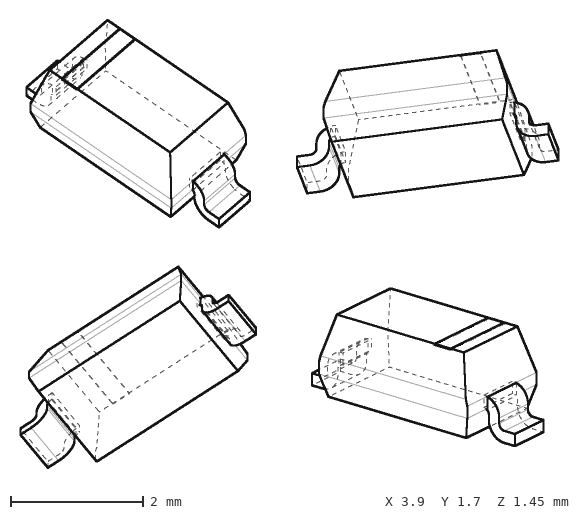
import cadquery as cq
import math

span = 3.9
total_height = 1.45
body_length = 2.85
body_width = 1.7

standoff = 0.1
band_bottom = 0.485
draft_slope = math.tan(math.radians(15.0))
back_step = 0.105

lead_thickness = 0.2
lead_width = 0.705
foot_length = 0.203
inner_radius = 0.098
outer_radius = inner_radius + lead_thickness
lead_top = band_bottom + lead_thickness

stripe_width = 0.31
stripe_depth = 0.015
stripe_offset = 0.25

band_top = lead_top
half_length = body_length / 2
half_width = body_width / 2
bottom_inset = (band_bottom - standoff) * draft_slope
top_inset = (total_height - band_top) * draft_slope
back_top_inset = top_inset - back_step * draft_slope


def make_body_blank():
    """Drafted block: the common volume of its lengthwise and crosswise profiles."""
    lengthwise = (
        cq.Workplane("XZ")
        .moveTo(-half_length + bottom_inset, standoff)
        .lineTo(half_length - bottom_inset, standoff)
        .lineTo(half_length, band_bottom)
        .lineTo(half_length, band_top)
        .lineTo(half_length - top_inset, total_height)
        .lineTo(-half_length + top_inset, total_height)
        .lineTo(-half_length, band_top)
        .lineTo(-half_length, band_bottom)
        .close()
        .extrude(half_width, both=True)
    )
    crosswise = (
        cq.Workplane("YZ")
        .moveTo(-half_width + bottom_inset, standoff)
        .lineTo(half_width - bottom_inset, standoff)
        .lineTo(half_width, band_bottom)
        .lineTo(half_width, band_top + back_step)
        .lineTo(half_width - back_top_inset, total_height)
        .lineTo(-half_width + top_inset, total_height)
        .lineTo(-half_width, band_top)
        .lineTo(-half_width, band_bottom)
        .close()
        .extrude(half_length, both=True)
    )
    return lengthwise.intersect(crosswise)


def make_left_lead():
    """S-bent strip on the -X side, ending inside the body where its upper bend turns level."""
    tip_x = -span / 2
    lower_bend_x = tip_x + foot_length
    upper_bend_x = lower_bend_x + inner_radius + outer_radius
    lower_bend_z = outer_radius
    upper_bend_z = lead_top - outer_radius
    diagonal = math.sqrt(0.5)
    inner_offset = inner_radius * diagonal
    outer_offset = outer_radius * diagonal
    return (
        cq.Workplane("XZ")
        .moveTo(tip_x, 0)
        .lineTo(lower_bend_x, 0)
        .threePointArc(
            (lower_bend_x + outer_offset, lower_bend_z - outer_offset),
            (lower_bend_x + outer_radius, lower_bend_z),
        )
        .lineTo(upper_bend_x - inner_radius, upper_bend_z)
        .threePointArc(
            (upper_bend_x - inner_offset, upper_bend_z + inner_offset),
            (upper_bend_x, upper_bend_z + inner_radius),
        )
        .lineTo(upper_bend_x, lead_top)
        .threePointArc(
            (upper_bend_x - outer_offset, upper_bend_z + outer_offset),
            (upper_bend_x - outer_radius, upper_bend_z),
        )
        .lineTo(lower_bend_x + inner_radius, lower_bend_z)
        .threePointArc(
            (lower_bend_x + inner_offset, lower_bend_z - inner_offset),
            (lower_bend_x, lead_thickness),
        )
        .lineTo(tip_x, lead_thickness)
        .close()
        .extrude(lead_width / 2, both=True)
    )


def make_stripe(blank):
    """Thin slice of the block, flush with its top and its drafted sides."""
    stripe_start = -half_length + top_inset + stripe_offset
    slab = cq.Workplane("XY").box(
        stripe_width, body_width, stripe_depth, centered=(False, True, False)
    )
    slab = slab.translate((stripe_start, 0, total_height - stripe_depth))
    return blank.intersect(slab)


body_blank = make_body_blank()
stripe = make_stripe(body_blank)

leads = []
for turn in (0, 180):
    leads.append(make_left_lead().rotate((0, 0, 0), (0, 0, 1), turn))

body = body_blank.cut(stripe)
for lead in leads:
    body = body.cut(lead)

result = cq.Compound.makeCompound(
    [body.solids().val(), stripe.solids().val(), *[lead.solids().val() for lead in leads]]
)